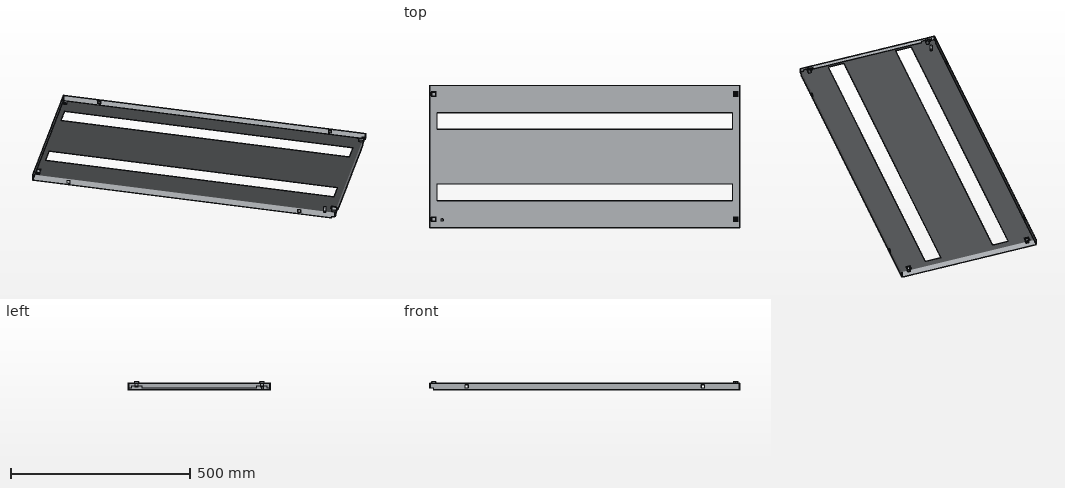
import cadquery as cq

LENGTH = 865.0
WIDTH = 398.0
PANEL_TOP = 19.0
SHEET = 1.0
BEND_RADIUS = 2.0
CORNER_RELIEF = 2.2

WINDOW_LENGTH = 823.5
WINDOW_WIDTH = 46.0
WINDOW_Y = 99.5

FLANGE_HOLE = 9.0
FLANGE_HOLE_X = 329.5
FLANGE_HOLE_Z = 9.5

LEFT_FLANGE_BOTTOM = 4.8
LEFT_STEP_LENGTH = 10.0
NOTCH_WIDTH = 29.0
NOTCH_TOP = 10.0

FASTENER_X = 421.0
FASTENER_Y = 175.0
CAP_SIZE = 13.0
CAP_TOP = 23.0
HOOK_CAP_TAPER = 18
LOCK_CAP_TAPER = 8
NECK_SIZE = 9.0
NECK_BOTTOM = 8.0
HOOK_FOOT_GAP = 3.0
PIN_DIAMETER = 7.0
PIN_SLOT_WIDTH = 2.0
PIN_SLOT_DEPTH = 3.0

STUD_DIAMETER = 7.0
STUD_BOTTOM = 3.0
STUD_X = -398.0
STUD_Y = -176.5

SIDES = (-1, 1)


def block(size_x, size_y, bottom, top, x=0.0, y=0.0):
    """Box centred on (x, y) that reaches from height bottom to height top."""
    return (
        cq.Workplane("XY", origin=(x, y, bottom))
        .rect(size_x, size_y)
        .extrude(top - bottom)
    )


def rod(diameter, bottom, top, x, y):
    """Upright cylinder on (x, y) that reaches from height bottom to height top."""
    return cq.Workplane("XY", origin=(x, y, bottom)).circle(diameter / 2).extrude(top - bottom)


def make_tray():
    """Top face with four flanges folded down and small reliefs at the corners."""
    outside = block(LENGTH, WIDTH, 0, PANEL_TOP).edges("|Z or >Z").fillet(BEND_RADIUS)
    inside = block(LENGTH - 2 * SHEET, WIDTH - 2 * SHEET, 0, PANEL_TOP - SHEET)
    tray = outside.cut(inside.edges("|Z or >Z").fillet(BEND_RADIUS - SHEET))
    for side_x in SIDES:
        for side_y in SIDES:
            tray = tray.cut(
                block(
                    2 * CORNER_RELIEF,
                    2 * CORNER_RELIEF,
                    0,
                    PANEL_TOP - BEND_RADIUS,
                    side_x * LENGTH / 2,
                    side_y * WIDTH / 2,
                )
            )
    return tray


def cut_windows(panel):
    """Two long windows through the top face."""
    for side in SIDES:
        panel = panel.cut(block(WINDOW_LENGTH, WINDOW_WIDTH, 0, PANEL_TOP, 0, side * WINDOW_Y))
    return panel


def cut_flange_holes(panel):
    """Square holes that pass through the front and back flanges."""
    hole_bottom = FLANGE_HOLE_Z - FLANGE_HOLE / 2
    for side in SIDES:
        panel = panel.cut(
            block(FLANGE_HOLE, WIDTH, hole_bottom, hole_bottom + FLANGE_HOLE, side * FLANGE_HOLE_X)
        )
    return panel


def cut_left_flange(panel):
    """Raise the lower edge along the left side and open a notch beside each hook."""
    left = -LENGTH / 2
    panel = panel.cut(block(2 * LEFT_STEP_LENGTH, WIDTH, 0, LEFT_FLANGE_BOTTOM, left))
    for side in SIDES:
        y = side * FASTENER_Y
        panel = panel.cut(block(2 * SHEET, NOTCH_WIDTH, 0, NOTCH_TOP, left, y))
    return panel


def cut_fastener_holes(panel):
    """Square holes in the top face for the four fasteners."""
    for side_x in SIDES:
        for side_y in SIDES:
            x = side_x * FASTENER_X
            y = side_y * FASTENER_Y
            panel = panel.cut(block(NECK_SIZE, NECK_SIZE, NECK_BOTTOM, PANEL_TOP, x, y))
    return panel


def make_capped_plug(x, y, cap_taper):
    """Square neck through the top face with a tapered square cap resting on that face."""
    neck = block(NECK_SIZE, NECK_SIZE, NECK_BOTTOM, PANEL_TOP, x, y)
    cap = (
        cq.Workplane("XY", origin=(x, y, PANEL_TOP))
        .rect(CAP_SIZE, CAP_SIZE)
        .extrude(CAP_TOP - PANEL_TOP, taper=cap_taper)
    )
    return neck.union(cap)


def make_hook(y):
    """One-piece fastener whose foot reaches under the top face toward the left flange."""
    foot_start = HOOK_FOOT_GAP - LENGTH / 2
    foot_end = -FASTENER_X
    foot = block(
        foot_end - foot_start,
        NECK_SIZE,
        NECK_BOTTOM,
        PANEL_TOP - SHEET,
        (foot_start + foot_end) / 2,
        y,
    )
    return make_capped_plug(-FASTENER_X, y, HOOK_CAP_TAPER).union(foot)


def make_lock_cage(y):
    """Fastener housing at the right edge, bored for its pin."""
    bore = rod(PIN_DIAMETER, NECK_BOTTOM, CAP_TOP, FASTENER_X, y)
    return make_capped_plug(FASTENER_X, y, LOCK_CAP_TAPER).cut(bore)


def make_lock_pin(y):
    """Pin that fills the bore of a lock cage, with a cross recess in its top."""
    pin = rod(PIN_DIAMETER, NECK_BOTTOM, CAP_TOP, FASTENER_X, y)
    recess_bottom = CAP_TOP - PIN_SLOT_DEPTH
    slot_along_x = block(PIN_DIAMETER, PIN_SLOT_WIDTH, recess_bottom, CAP_TOP, FASTENER_X, y)
    slot_along_y = block(PIN_SLOT_WIDTH, PIN_DIAMETER, recess_bottom, CAP_TOP, FASTENER_X, y)
    return pin.cut(slot_along_x).cut(slot_along_y)


panel = make_tray()
panel = cut_windows(panel)
panel = cut_flange_holes(panel)
panel = cut_left_flange(panel)
panel = cut_fastener_holes(panel)

hooks = [make_hook(side * FASTENER_Y) for side in SIDES]
lock_cages = [make_lock_cage(side * FASTENER_Y) for side in SIDES]
lock_pins = [make_lock_pin(side * FASTENER_Y) for side in SIDES]
stud = rod(STUD_DIAMETER, STUD_BOTTOM, PANEL_TOP - SHEET, STUD_X, STUD_Y)

bodies = [panel, *hooks, *lock_cages, *lock_pins, stud]
result = cq.Compound.makeCompound([body.val() for body in bodies])